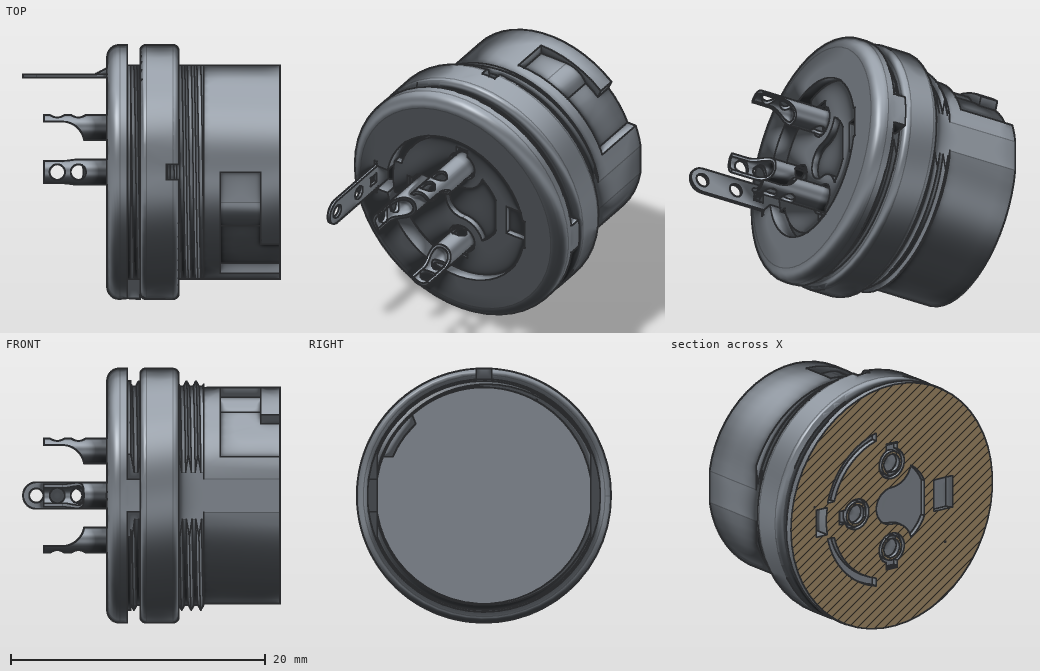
import cadquery as cq
import math

FLANGE_RADIUS = 10.0
FLANGE_THICKNESS = 1.6
FLANGE_FILLET = 1.0

BODY_RADIUS = 8.5
BODY_END = 13.6
FLAT_DISTANCE = 8.4

THREAD_RADIUS = 9.0
THREAD_ROOT_RADIUS = 8.6
THREAD_PITCH = 0.75
THREAD_BASE_WIDTH = 0.45
THREAD_OVERLAP = 0.1
THREAD_START = 1.37
THREAD_END = 7.6
THREAD_COLLAR_END = 1.87

NUT_START = 2.6
NUT_END = 5.65
NUT_FILLET = 0.5
NUT_BORE_RADIUS = 18.3 / 2
NUT_NOTCH_LENGTH = 1.0
NUT_NOTCH_WIDTH = 1.2

KEY_WIDTH = 2.56

WINDOW_START = 8.9
BRIDGE_START = 12.1
WINDOW_FLOOR_RADIUS = 7.78
WINDOW_LOW_EDGE = 3.03
WINDOW_FLAT_HEIGHT = 7.74
RAMP_RADIUS = 2.06
RAMP_START_Y = -2.35
RAMP_END_Y = -4.22
BRIDGE_TIP_Z = 6.35
BRIDGE_TIP_INNER_Z = 5.64

RECESS_RADIUS = 6.5
RECESS_DEPTH = 0.9
GROOVE_INNER_RADIUS = 11.8 / 2
GROOVE_DEPTH = 1.5
GROOVE_INNER_EDGE = 1.57
TONGUE_WIDTH = 3.0

POCKET_DEPTH = 0.55
POCKET_LOBE_RADIUS = 1.5
POCKET_OUTER_RADIUS = 3.53
POCKET_FLAT_Y = -3.22
PIN_BOSS_RADIUS = 2.0
LATCH_INNER_Y = -4.19
LATCH_OUTER_Y = -6.55
LATCH_CURVE_RADIUS = 0.9

PIN_CIRCLE_RADIUS = 3.5
PIN_RADIUS = 1.0
PIN_BORE_RADIUS = 0.75
PIN_LENGTH = 4.95
PIN_STRIP_OFFSET = 0.46
PIN_SCOOP_X = -3.5
PIN_SCOOP_RADIUS = 1.72
PIN_HOLE_DIAMETER = 1.2
PIN_HOLE_XS = (-3.9, -2.24)
PIN_CLEARANCE_RADIUS = 1.22
PIN_KEYWAY_WIDTH = 1.06
PIN_KEYWAY_REACH = 5.17
PIN_KEYWAY_STEP = 0.12
PIN_BASE_HOLE_X = 0.55
PIN_ANGLES = (0, 90, -90)

LUG_TIP = -6.6
LUG_WIDTH = 2.1
LUG_THICKNESS = 0.25
LUG_OUTER_Y = 7.68
LUG_HOLE_DIAMETER = 1.1
LUG_HOLE_XS = (-5.55, -2.5)
LUG_SLOT_WIDTH = 3.0
LUG_SLOT_DEPTH = 0.3
LUG_POCKET_WIDTH = 2.2
LUG_POCKET_DEPTH = 4.5
LUG_FOOT_DEPTH = 1.6
LUG_FOOT_RADIUS = 0.5
LOUVER_LENGTH = 0.95
LOUVER_RADIUS = 0.5
LOUVER_HOLE_START = -0.85
LOUVER_HOLE_WIDTH = 0.8

LUG_INNER_Y = LUG_OUTER_Y - LUG_THICKNESS
INSERT_FACE = RECESS_DEPTH
POCKET_FLOOR = RECESS_DEPTH + POCKET_DEPTH


def cylinder(radius, x_start, x_end, y=0.0, z=0.0):
    """Cylinder along X centred on (y, z)."""
    return cq.Workplane("YZ", origin=(x_start, y, z)).circle(radius).extrude(x_end - x_start)


def block(x_start, x_end, y_start, y_end, z_start, z_end):
    """Axis-aligned block between two corners."""
    size = (x_end - x_start, y_end - y_start, z_end - z_start)
    return cq.Workplane("XY").box(*size, centered=False).translate((x_start, y_start, z_start))


def centred_block(x_start, x_end, y_start, y_end, width):
    """Block centred on z = 0."""
    return block(x_start, x_end, y_start, y_end, -width / 2, width / 2)


def drill_y(diameter, x, y_start, y_end):
    """Round cutter along +Y at the given x."""
    plane = cq.Workplane("XZ", origin=(x, y_start, 0))
    return plane.circle(diameter / 2).extrude(y_start - y_end)


def make_thread():
    """Root cylinder carrying a right-hand V ridge, clipped at the thread end."""
    turns = math.ceil((THREAD_END - THREAD_START) / THREAD_PITCH)
    base_radius = THREAD_ROOT_RADIUS - THREAD_OVERLAP
    flank = (THREAD_BASE_WIDTH / 2) / (THREAD_RADIUS - THREAD_ROOT_RADIUS)
    base_half = flank * (THREAD_RADIUS - base_radius)
    helix = cq.Wire.makeHelix(THREAD_PITCH, turns * THREAD_PITCH, base_radius)
    profile = (
        cq.Workplane("XZ")
        .moveTo(base_radius, -base_half)
        .lineTo(THREAD_RADIUS, 0)
        .lineTo(base_radius, base_half)
        .close()
    )
    ridge = profile.sweep(cq.Workplane(helix), isFrenet=True)
    ridge = ridge.rotate((0, 0, 0), (0, 1, 0), 90).translate((THREAD_START, 0, 0))
    envelope = cylinder(FLANGE_RADIUS, 0, THREAD_END)
    root = cylinder(THREAD_ROOT_RADIUS, 0, THREAD_END)
    return root.union(ridge.intersect(envelope))


def make_window_floor():
    """Core left standing under the bayonet window: flat, rounded drop, round floor."""
    ramp_end_z = math.sqrt(WINDOW_FLOOR_RADIUS**2 - RAMP_END_Y**2)
    chord = (RAMP_START_Y - RAMP_END_Y, WINDOW_FLAT_HEIGHT - ramp_end_z)
    sag_angle = math.atan2(chord[1], chord[0])
    ramp_mid = (
        RAMP_START_Y - RAMP_RADIUS * math.sin(sag_angle),
        WINDOW_FLAT_HEIGHT - RAMP_RADIUS * (1 - math.cos(sag_angle)),
    )
    step = (
        cq.Workplane("YZ", origin=(WINDOW_START, 0, 0))
        .moveTo(0, 0)
        .lineTo(0, WINDOW_FLAT_HEIGHT)
        .lineTo(RAMP_START_Y, WINDOW_FLAT_HEIGHT)
        .threePointArc(ramp_mid, (RAMP_END_Y, ramp_end_z))
        .close()
        .extrude(BRIDGE_START - WINDOW_START)
    )
    above_flat = block(WINDOW_START, BRIDGE_START, RAMP_START_Y, 0, WINDOW_FLAT_HEIGHT, BODY_RADIUS)
    return cylinder(WINDOW_FLOOR_RADIUS, WINDOW_START, BODY_END).cut(above_flat).union(step)


def make_window_cutter():
    """Bayonet window in the -Y, +Z quarter, leaving the bridge at the body end."""
    reach = FLANGE_RADIUS
    quarter = block(WINDOW_START, BODY_END, -reach, 0, WINDOW_LOW_EDGE, reach)
    tip_outer_y = -math.sqrt(BODY_RADIUS**2 - BRIDGE_TIP_Z**2)
    tip_inner_y = -math.sqrt(WINDOW_FLOOR_RADIUS**2 - BRIDGE_TIP_INNER_Z**2)
    bridge = (
        cq.Workplane("YZ", origin=(BRIDGE_START, 0, 0))
        .polyline([
            (0, 0),
            (tip_inner_y, BRIDGE_TIP_INNER_Z),
            (tip_outer_y, BRIDGE_TIP_Z),
            (tip_outer_y, reach),
            (0, reach),
        ])
        .close()
        .extrude(BODY_END - BRIDGE_START)
    )
    return quarter.cut(bridge).cut(make_window_floor())


def make_shell():
    """Threaded body with its flats and window, flange, key and nut."""
    body = cylinder(BODY_RADIUS, 0, BODY_END).cut(make_window_cutter())
    collar = cylinder(THREAD_RADIUS, 0, THREAD_COLLAR_END)
    body = body.union(make_thread()).union(collar)
    flats = centred_block(0, BODY_END, -FLAT_DISTANCE, FLAT_DISTANCE, 2 * FLANGE_RADIUS)
    body = body.intersect(flats)

    flange = cylinder(FLANGE_RADIUS, 0, FLANGE_THICKNESS).faces("<X").edges().fillet(FLANGE_FILLET)
    key = centred_block(0, NUT_START, -FLANGE_RADIUS, 0, KEY_WIDTH)
    key = key.intersect(cylinder(FLANGE_RADIUS, FLANGE_THICKNESS, NUT_START))
    return body.union(make_nut()).union(flange).union(key)


def make_nut():
    """Round ring nut with rounded rims and one notch open to the thread."""
    nut = cylinder(FLANGE_RADIUS, NUT_START, NUT_END).edges().fillet(NUT_FILLET)
    nut = nut.cut(cylinder(NUT_BORE_RADIUS, NUT_START, NUT_END))
    notch_start = NUT_END - NUT_NOTCH_LENGTH
    half_width = NUT_NOTCH_WIDTH / 2
    return nut.cut(block(notch_start, NUT_END, -half_width, half_width, 0, FLANGE_RADIUS))


def make_recess():
    """Round recess in the flange face with the deeper groove around the insert."""
    recess = cylinder(RECESS_RADIUS, 0, INSERT_FACE)
    groove = cylinder(RECESS_RADIUS, 0, GROOVE_DEPTH).cut(cylinder(GROOVE_INNER_RADIUS, 0, GROOVE_DEPTH))
    half = centred_block(0, GROOVE_DEPTH, GROOVE_INNER_EDGE, RECESS_RADIUS, 2 * RECESS_RADIUS)
    tongue = centred_block(0, GROOVE_DEPTH, 0, RECESS_RADIUS, TONGUE_WIDTH)
    return recess.union(groove.intersect(half).cut(tongue))


def make_central_pocket():
    """Bell-shaped pocket: round lobe opening to a fan that passes beside the pin bosses."""
    lobe = cylinder(POCKET_LOBE_RADIUS, 0, POCKET_FLOOR)
    fan = cylinder(POCKET_OUTER_RADIUS, 0, POCKET_FLOOR)
    fan = fan.intersect(centred_block(0, POCKET_FLOOR, POCKET_FLAT_Y, 0, 2 * POCKET_OUTER_RADIUS))
    for side in (1, -1):
        fan = fan.cut(cylinder(PIN_BOSS_RADIUS, 0, POCKET_FLOOR, 0, side * PIN_CIRCLE_RADIUS))
    return lobe.union(fan)


def make_latch_window():
    """Rectangular pocket opposite the lug, with a rounded latch along its outer side."""
    window = centred_block(0, POCKET_FLOOR, LATCH_OUTER_Y, LATCH_INNER_Y, KEY_WIDTH)
    latch_axis = (INSERT_FACE + LATCH_CURVE_RADIUS, -RECESS_RADIUS, -KEY_WIDTH / 2)
    latch = cq.Workplane("XY", origin=latch_axis).circle(LATCH_CURVE_RADIUS).extrude(KEY_WIDTH)
    return window.cut(latch)


def make_pin_clearance():
    """Round clearance with a keyway around the pin that lies on +Y."""
    clearance = cylinder(PIN_CLEARANCE_RADIUS, 0, POCKET_FLOOR, PIN_CIRCLE_RADIUS)
    step_y = PIN_KEYWAY_REACH - PIN_KEYWAY_STEP
    step_x = INSERT_FACE + POCKET_DEPTH / 2
    keyway = centred_block(0, POCKET_FLOOR, PIN_CIRCLE_RADIUS, step_y, PIN_KEYWAY_WIDTH)
    step = centred_block(0, step_x, PIN_CIRCLE_RADIUS, PIN_KEYWAY_REACH, PIN_KEYWAY_WIDTH)
    return clearance.union(keyway).union(step)


def make_pin():
    """Hollow solder pin on +Y, scooped open toward the connector axis."""
    pin = cylinder(PIN_RADIUS, -PIN_LENGTH, POCKET_FLOOR, PIN_CIRCLE_RADIUS)
    pin = pin.cut(cylinder(PIN_BORE_RADIUS, -PIN_LENGTH, POCKET_FLOOR, PIN_CIRCLE_RADIUS))
    strip_y = PIN_CIRCLE_RADIUS + PIN_STRIP_OFFSET
    scoop = centred_block(-PIN_LENGTH, PIN_SCOOP_X, 0, strip_y, 2 * PIN_RADIUS)
    scoop_round = (
        cq.Workplane("XY", origin=(PIN_SCOOP_X, strip_y - PIN_SCOOP_RADIUS, -PIN_RADIUS))
        .circle(PIN_SCOOP_RADIUS)
        .extrude(2 * PIN_RADIUS)
    )
    pin = pin.cut(scoop).cut(scoop_round)
    for x in PIN_HOLE_XS:
        pin = pin.cut(drill_y(PIN_HOLE_DIAMETER, x, PIN_CIRCLE_RADIUS, PIN_CIRCLE_RADIUS + PIN_RADIUS))
    inner_side = PIN_CIRCLE_RADIUS - PIN_RADIUS
    return pin.cut(drill_y(PIN_HOLE_DIAMETER, PIN_BASE_HOLE_X, inner_side, PIN_CIRCLE_RADIUS))


def make_lug_pocket():
    """Opening in the flange for the lug: narrow pocket plus a wide shallow slot."""
    pocket = centred_block(0, LUG_POCKET_DEPTH, 0, LUG_INNER_Y, LUG_POCKET_WIDTH)
    pocket = pocket.cut(cylinder(RECESS_RADIUS, 0, LUG_POCKET_DEPTH))
    foot = (
        cq.Workplane("XY", origin=(0, 0, -LUG_POCKET_WIDTH / 2))
        .moveTo(LUG_FOOT_DEPTH, LUG_INNER_Y)
        .radiusArc((LUG_FOOT_DEPTH + LUG_FOOT_RADIUS, LUG_INNER_Y - LUG_FOOT_RADIUS), -LUG_FOOT_RADIUS)
        .lineTo(LUG_POCKET_DEPTH, RECESS_RADIUS)
        .lineTo(LUG_POCKET_DEPTH, LUG_INNER_Y)
        .close()
        .extrude(LUG_POCKET_WIDTH)
    )
    slot = centred_block(0, LUG_SLOT_DEPTH, LUG_INNER_Y, LUG_OUTER_Y, LUG_SLOT_WIDTH)
    return pocket.cut(foot).union(slot)


def make_louver():
    """Hollow half-cone raised from the outer face of the lug."""
    tip = cq.Vector(-LOUVER_LENGTH, LUG_OUTER_Y, 0)
    cone = cq.Solid.makeCone(0, LOUVER_RADIUS, LOUVER_LENGTH, pnt=tip, dir=cq.Vector(1, 0, 0))
    outer = cq.Workplane(cone)
    inner = outer.translate((LUG_THICKNESS, 0, 0))
    above = centred_block(-LOUVER_LENGTH, 0, LUG_OUTER_Y, LUG_OUTER_Y + LOUVER_RADIUS, LUG_WIDTH)
    return outer.intersect(above).cut(inner)


def make_lug():
    """Flat solder lug with a round tip, two holes and a louver over a square hole."""
    tip_radius = LUG_WIDTH / 2
    lug = centred_block(LUG_TIP + tip_radius, LUG_POCKET_DEPTH, LUG_INNER_Y, LUG_OUTER_Y, LUG_WIDTH)
    lug = lug.union(drill_y(LUG_WIDTH, LUG_TIP + tip_radius, LUG_INNER_Y, LUG_OUTER_Y))
    for x in LUG_HOLE_XS:
        lug = lug.cut(drill_y(LUG_HOLE_DIAMETER, x, LUG_INNER_Y, LUG_OUTER_Y))
    lug = lug.cut(centred_block(LOUVER_HOLE_START, 0, LUG_INNER_Y, LUG_OUTER_Y, LOUVER_HOLE_WIDTH))
    return lug.union(make_louver())


def build():
    part = make_shell()
    for pocket in (make_recess(), make_central_pocket(), make_latch_window(), make_lug_pocket()):
        part = part.cut(pocket)
    for angle in PIN_ANGLES:
        part = part.cut(make_pin_clearance().rotate((0, 0, 0), (1, 0, 0), angle))
    for angle in PIN_ANGLES:
        part = part.union(make_pin().rotate((0, 0, 0), (1, 0, 0), angle))
    return part.union(make_lug())


result = build()